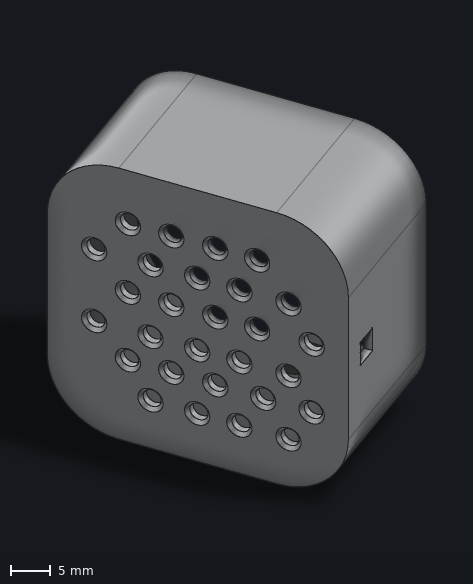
import cadquery as cq

SIDE = 42.0
DEPTH = 22.5
CORNER_RADIUS = 10.0

FRONT_WALL = 1.45
CAVITY_RADIUS = 19.82

PAD_THICKNESS = 2.3
PAD_LEFT = 1.0
PAD_TOP = -13.8

OPENING_SIDE = 3.53
OPENING_CENTER_Y = 5.25

HOLE_DIAMETER = 2.5
SINK_DIAMETER = 3.53
SINK_ANGLE = 90.0

HOLE_ROWS = [
    (12.75, [-9.75, -3.7, 2.45, 8.27]),
    (7.4, [-14.45, -6.6, -0.1, 5.8, 12.65]),
    (2.15, [-9.75, -3.7, 2.45, 8.27, 15.88]),
    (-3.75, [-14.45, -6.6, -0.1, 5.8, 12.65]),
    (-8.35, [-9.75, -3.7, 2.45, 9.1, 15.88]),
    (-13.55, [-6.6, -0.1, 5.8, 12.65]),
]


def make_block():
    """Solid outer block with its four edges along Y rounded."""
    block = cq.Workplane("XY").box(SIDE, DEPTH, SIDE).edges("|Y").fillet(CORNER_RADIUS)
    return block.translate((0, DEPTH / 2, 0))


def make_pad_zone():
    """Box to the right of PAD_LEFT and below PAD_TOP, reaching the outer sides of the block."""
    width = SIDE / 2 - PAD_LEFT
    height = SIDE / 2 + PAD_TOP
    zone = cq.Workplane("XY").box(width, PAD_THICKNESS, height, centered=False)
    return zone.translate((PAD_LEFT, DEPTH - PAD_THICKNESS, -SIDE / 2))


def make_cavity():
    """Space behind the front wall: a cylinder less the corner taken up by the pad."""
    back = cq.Workplane("XZ", origin=(0, DEPTH, 0))
    cylinder = back.circle(CAVITY_RADIUS).extrude(DEPTH - FRONT_WALL)
    return cylinder.cut(make_pad_zone())


def make_side_opening():
    """Square bar from the middle of the cavity out through the right wall."""
    section = cq.Workplane("YZ", origin=(0, OPENING_CENTER_Y, 0))
    return section.rect(OPENING_SIDE, OPENING_SIDE).extrude(SIDE / 2)


def drill_holes(body):
    """Drill the countersunk holes through the front wall."""
    points = [(x, z) for z, row in HOLE_ROWS for x in row]
    front = body.faces("<Y").workplane(origin=(0, 0, 0))
    return front.pushPoints(points).cskHole(HOLE_DIAMETER, SINK_DIAMETER, SINK_ANGLE, depth=FRONT_WALL)


shell = make_block().cut(make_cavity()).cut(make_side_opening())
result = drill_holes(shell)